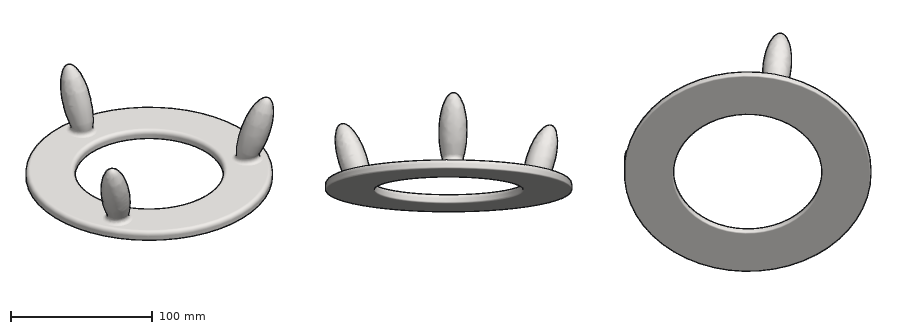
import cadquery as cq
import math

ring_diameter = 175.0
bore_diameter = 105.0
ring_thickness = 7.0
top_round = 3.2
bottom_round = 1.0

peg_count = 3
first_peg_angle = 60
egg_half_length = 28.2
egg_half_width = 10.1
egg_lean = 19.3
egg_center_radius = 76.6
egg_center_height = 21.5

peg_blend = 3.0
joint_margin = 0.2


def make_ring():
    ring = (
        cq.Workplane("XY")
        .circle(ring_diameter / 2)
        .circle(bore_diameter / 2)
        .extrude(ring_thickness)
    )
    return ring.faces(">Z").edges().fillet(top_round).faces("<Z").edges().fillet(bottom_round)


def make_egg():
    """Ellipsoid of revolution, leaning towards +X."""
    egg = (
        cq.Workplane("XZ")
        .moveTo(0, -egg_half_length)
        .ellipseArc(egg_half_width, egg_half_length, -90, 90, startAtCurrent=True)
        .close()
        .revolve(360, (0, 0, 0), (0, 1, 0))
    )
    return egg.rotate((0, 0, 0), (0, 1, 0), egg_lean).translate(
        (egg_center_radius, 0, ring_thickness + egg_center_height)
    )


def peg_angle(index):
    return first_peg_angle + index * 360 / peg_count


def joint_selector(index):
    """Box around the closed curve where one egg meets the top face of the ring."""
    foot_radius = egg_center_radius - egg_center_height * math.tan(math.radians(egg_lean))
    angle = math.radians(peg_angle(index))
    x = foot_radius * math.cos(angle)
    y = foot_radius * math.sin(angle)
    return cq.selectors.BoxSelector(
        (x - egg_half_width, y - egg_half_width, ring_thickness - joint_margin),
        (x + egg_half_width, y + egg_half_width, ring_thickness + joint_margin),
        boundingbox=True,
    )


result = make_ring()
egg = make_egg()
for index in range(peg_count):
    result = result.union(egg.rotate((0, 0, 0), (0, 0, 1), peg_angle(index)))
for index in range(peg_count):
    result = result.edges(joint_selector(index)).fillet(peg_blend)